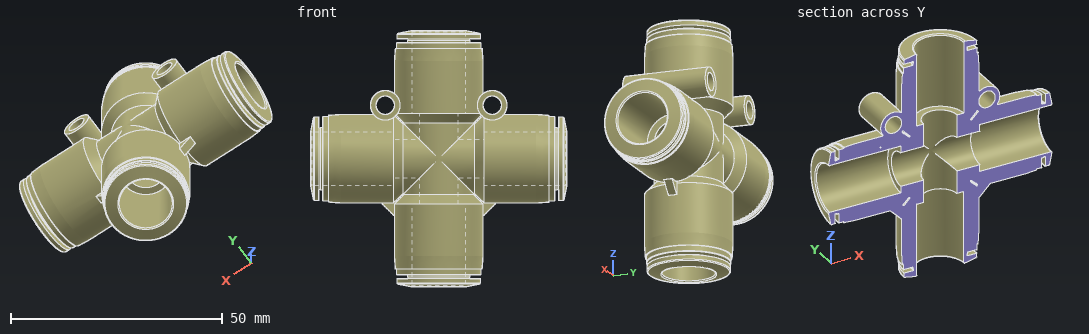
import cadquery as cq

reach = 30.25
body_diameter = 21.0
body_radius = body_diameter / 2

body_start = 10.7
shoulder_length = 2.3
hub_radius = 16.5 / 2

taper_start = 23.05
taper_end = 26.0
taper_end_radius = 10.3
cap_end = 27.45
cap_radius = 20.0 / 2
cap_chamfer = 0.1

neck_radius = 14.6 / 2
neck_step = 0.1
neck_step_end = 27.95
flange_radius = 19.8 / 2
flange_back = 28.3
flange_rim = 29.65
flange_chamfer = 0.25

socket_radius = 12.6 / 2
socket_chamfer = 0.3
socket_floor = body_start
passage_radius = 9.0 / 2

tube_offset = 12.65
tube_diameter = 7.0
tube_hole_diameter = 4.3

rib_reach = 13.55
rib_width = 2.1
rib_root = body_radius - 0.6

arm_angles = [0, 90, 180, 270]


def revolve_arm(profile):
    """Revolve (radius, distance) points about Z."""
    outline = cq.Workplane("XZ").polyline(profile).close()
    return outline.revolve(360, (0, 0, 0), (0, 1, 0))


def around_cross(arm):
    """Copy an upward arm to all four directions and fuse the copies."""
    cross = arm
    for angle in arm_angles[1:]:
        cross = cross.union(arm.rotate((0, 0, 0), (0, 1, 0), angle))
    return cross


def make_arm():
    return revolve_arm([
        (0, 0),
        (hub_radius, 0),
        (hub_radius, body_start - shoulder_length),
        (body_radius, body_start),
        (body_radius, taper_start),
        (taper_end_radius, taper_end),
        (cap_radius, taper_end),
        (cap_radius, cap_end - cap_chamfer),
        (cap_radius - cap_chamfer, cap_end),
        (neck_radius + neck_step, cap_end),
        (neck_radius + neck_step, neck_step_end),
        (neck_radius, neck_step_end),
        (neck_radius, flange_back),
        (flange_radius, flange_back),
        (flange_radius, flange_rim - flange_chamfer),
        (flange_radius - flange_chamfer, flange_rim),
        (socket_radius + socket_chamfer, reach),
        (0, reach),
    ])


def trim_to_quadrant(arm):
    """Keep the part of an upward arm between the 45 degree mitre planes."""
    wedge = (
        cq.Workplane("XZ")
        .polyline([(0, 0), (reach, reach), (-reach, reach)])
        .close()
        .extrude(body_radius, both=True)
    )
    return arm.intersect(wedge)


def make_bore():
    return revolve_arm([
        (0, 0),
        (passage_radius, 0),
        (passage_radius, socket_floor),
        (socket_radius, socket_floor),
        (socket_radius, reach - socket_chamfer),
        (socket_radius + socket_chamfer, reach),
        (0, reach),
    ])


def make_tubes(diameter):
    return (
        cq.Workplane("XZ", origin=(0, -body_radius, 0))
        .pushPoints([(-tube_offset, tube_offset), (tube_offset, tube_offset)])
        .circle(diameter / 2)
        .extrude(-body_diameter)
    )


def make_rib(side):
    """Triangular rib below the arm on the given side (-1 or 1)."""
    return (
        cq.Workplane("XZ")
        .polyline([
            (side * rib_root, -rib_root),
            (side * rib_reach, -rib_root),
            (side * rib_reach, -body_radius),
            (side * body_radius, -rib_reach),
            (side * rib_root, -rib_reach),
        ])
        .close()
        .extrude(rib_width / 2, both=True)
    )


fitting = around_cross(trim_to_quadrant(make_arm()))
fitting = fitting.union(make_tubes(tube_diameter))
for side in (-1, 1):
    fitting = fitting.union(make_rib(side))

result = fitting.cut(around_cross(make_bore())).cut(make_tubes(tube_hole_diameter))